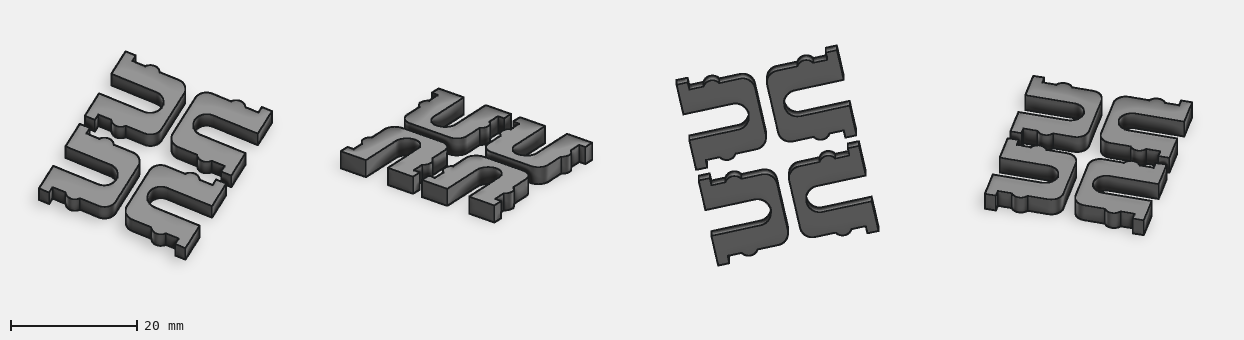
import cadquery as cq

overall_x = 26.03
overall_y = 30.3
thickness = 3.1
gap_x = 1.97
gap_y = 1.75

clip_length = (overall_x - gap_x) / 2
clip_width = (overall_y - gap_y) / 2
lip_length = 1.82
lip_height = 1.2
corner_radius = 2.0
slot_width = 4.3
slot_depth = 10.12

bump_from_open_end = 5.4
bump_chord = 2.58
bump_height = 0.73

body_half_width = clip_width / 2 - lip_height


def clip_body():
    """Block with its two closed-end corners rounded; open end at x = 0."""
    return (
        cq.Workplane("XY")
        .box(clip_length, 2 * body_half_width, thickness, centered=(False, True, False))
        .edges("|Z and >X")
        .fillet(corner_radius)
    )


def end_lips():
    """Bar across the open end that stands out as a lip on both legs."""
    return cq.Workplane("XY").box(lip_length, clip_width, thickness, centered=(False, True, False))


def snap_bump(side):
    """Shallow round bump on the leg at side = +1 or -1."""
    crest_y = side * (body_half_width + bump_height)
    base_y = side * body_half_width
    root_y = side * slot_width / 2
    start_x = bump_from_open_end - bump_chord / 2
    end_x = bump_from_open_end + bump_chord / 2
    return (
        cq.Workplane("XY")
        .moveTo(start_x, root_y)
        .lineTo(start_x, base_y)
        .threePointArc((bump_from_open_end, crest_y), (end_x, base_y))
        .lineTo(end_x, root_y)
        .close()
        .extrude(thickness)
    )


def round_ended_slot():
    """Slot between the legs, ending in a full round."""
    slot_radius = slot_width / 2
    straight_end = slot_depth - slot_radius
    return (
        cq.Workplane("XY")
        .moveTo(0, -slot_radius)
        .lineTo(straight_end, -slot_radius)
        .threePointArc((slot_depth, 0), (straight_end, slot_radius))
        .lineTo(0, slot_radius)
        .close()
        .extrude(thickness)
    )


def make_clip():
    """One clip, opening toward -X, with its open end at x = 0."""
    clip = clip_body().union(end_lips())
    for side in (-1, 1):
        clip = clip.union(snap_bump(side))
    return clip.cut(round_ended_slot()).clean()


clip_center_y = (clip_width + gap_y) / 2
clips = []
for row in (-1, 1):
    for turn in (0, 180):
        placed_clip = (
            make_clip()
            .translate((-overall_x / 2, row * clip_center_y, 0))
            .rotate((0, 0, 0), (0, 0, 1), turn)
        )
        clips.append(placed_clip.val())

result = cq.Compound.makeCompound(clips)